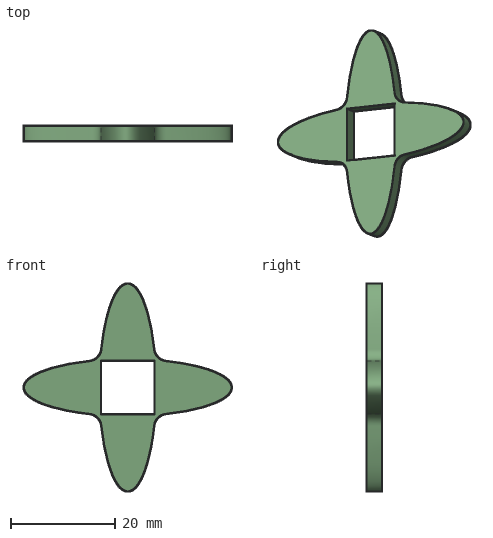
import cadquery as cq

SPAN = 40.0
PETAL_WIDTH = 11.0
THICKNESS = 3.0
HOLE_SIDE = 10.2
INNER_FILLET = 2.5


def petal_pair(length_x, length_z):
    """Elliptical plate giving two opposite petals, centred on the Y axis."""
    return cq.Workplane("XZ").ellipse(length_x / 2, length_z / 2).extrude(THICKNESS)


def four_petal_star():
    """Two crossed ellipses with the four inner corners rounded."""
    star = petal_pair(SPAN, PETAL_WIDTH).union(petal_pair(PETAL_WIDTH, SPAN))

    crossing = 1 / ((2 / SPAN) ** 2 + (2 / PETAL_WIDTH) ** 2) ** 0.5
    for side_x in (-1, 1):
        for side_z in (-1, 1):
            corner_middle = (side_x * crossing, -THICKNESS / 2, side_z * crossing)
            corner = cq.selectors.NearestToPointSelector(corner_middle)
            star = star.edges(corner).fillet(INNER_FILLET)
    return star


def square_hole():
    """Cutter for the central square hole."""
    return cq.Workplane("XZ").rect(HOLE_SIDE, HOLE_SIDE).extrude(THICKNESS)


result = four_petal_star().cut(square_hole())